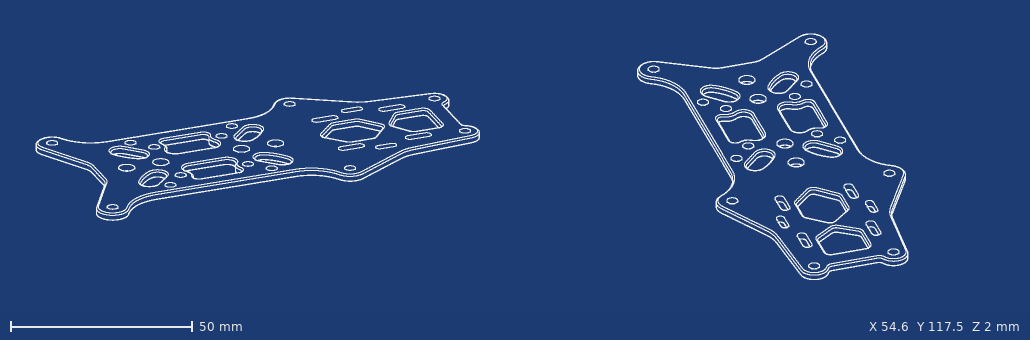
import cadquery as cq
import math

thickness = 2.0
edge_chamfer = 0.5
body_half_width = 18.6

wing_x, wing_y = 22.8, 35.2
wing_radius = 4.5
wing_blend_radius = 12.0
wing_edge_angle = 30.0
rear_edge_y = -30.7
rear_corner_radius = 4.9

ear_x, ear_y = 11.5, 73.8
ear_radius = 4.0
ear_blend_radius = 1.5
front_edge_y = 74.7
neck_y = 54.2
neck_radius = 10.0

screw_diameter = 3.0
centre_diameter = 4.5
centre_hole_ys = (12.0, 22.1)
inner_mount = 10.0
outer_mount = 15.0

strap_slots = (
    (10.0, 60.5, 7.5, 2.6),
    (12.9, 49.8, 6.1, 2.2),
    (10.0, 40.7, 7.5, 2.6),
)

window_half_width = 6.3
window_corner_radius = 1.5
front_window_top = 69.3
front_window_shoulder = 60.4
front_window_tip = 56.0
hex_window_top = 54.3
hex_window_upper_shoulder = 48.9
hex_window_lower_shoulder = 41.5
hex_window_bottom = 35.5

pocket_inner_x, pocket_outer_x = 4.0, 13.9
pocket_inner_radius = 2.5
pocket_outer_radius = 1.5
pocket_wall_radius = 3.5

diagonal_x, diagonal_y = 9.2, 17.7
diagonal_half_spacing = 2.8
diagonal_end_radius = 2.5
diagonal_bulge_radius = 14.1
diagonal_angle = 45.0


def polar(centre, radius, angle):
    """Point on a circle; the angle is in radians."""
    return (centre[0] + radius * math.cos(angle), centre[1] + radius * math.sin(angle))


def add_arc(path, centre, radius, start, end):
    """Continue a path with a line to the arc's start (if apart), then the arc."""
    first = polar(centre, radius, start)
    if math.dist(first, path.vals()[-1].endPoint().toTuple()[:2]) > 1.17e-06:
        path = path.lineTo(*first)
    middle = polar(centre, radius, (start + end) / 2)
    return path.threePointArc(middle, polar(centre, radius, end))


def mirror_x(shape):
    return shape.union(shape.mirror("YZ"))


def mirror_y(shape):
    return shape.union(shape.mirror("XZ"))


def mirrored_points(x, y):
    return [(sx * x, sy * y) for sx in (1, -1) for sy in (1, -1)]


def round_edges_at(shape, points, radius):
    """Fillet the upright edges that pass through the given points."""
    for x, y in points:
        edge = cq.selectors.NearestToPointSelector((x, y, thickness / 2))
        shape = shape.edges("|Z").edges(edge).fillet(radius)
    return shape


def plate_blank():
    ear, wing, rear_wing = (ear_x, ear_y), (wing_x, wing_y), (wing_x, -wing_y)
    quarter = math.pi / 2
    edge_angle = math.radians(wing_edge_angle)

    ear_blend_y = front_edge_y + ear_blend_radius
    ear_blend_angle = math.asin((ear_blend_y - ear_y) / (ear_radius + ear_blend_radius))
    ear_blend = polar(ear, ear_radius + ear_blend_radius, math.pi - ear_blend_angle)

    wing_tangent = polar(wing, wing_radius, edge_angle)
    neck = (wing_tangent[0] - (neck_y - wing_tangent[1]) * math.tan(edge_angle), neck_y)
    neck_direction = math.atan2(neck[1] - ear[1], neck[0] - ear[0])
    ear_side_angle = neck_direction + math.acos(ear_radius / math.dist(ear, neck))

    blend_x = body_half_width + wing_blend_radius
    blend_angle = math.acos((blend_x - wing_x) / (wing_radius + wing_blend_radius))
    blend = polar(wing, wing_radius + wing_blend_radius, -blend_angle)
    rear_blend = (blend[0], -blend[1])

    rear_angle = -quarter - edge_angle
    rear_tangent = polar(rear_wing, wing_radius, rear_angle)
    rear_corner_x = rear_tangent[0] - (rear_edge_y - rear_tangent[1]) / math.tan(edge_angle)

    path = cq.Workplane().moveTo(0, front_edge_y).lineTo(ear_blend[0], front_edge_y)
    path = add_arc(path, ear_blend, ear_blend_radius, -quarter, -ear_blend_angle)
    path = add_arc(path, ear, ear_radius, math.pi - ear_blend_angle, ear_side_angle)
    path = path.lineTo(*neck)
    path = add_arc(path, wing, wing_radius, edge_angle, -blend_angle)
    path = add_arc(path, blend, wing_blend_radius, math.pi - blend_angle, math.pi)
    path = add_arc(path, rear_blend, wing_blend_radius, math.pi, math.pi + blend_angle)
    path = add_arc(path, rear_wing, wing_radius, blend_angle, rear_angle)
    path = path.lineTo(rear_corner_x, rear_edge_y).lineTo(0, rear_edge_y).close()

    blank = mirror_x(path.extrude(thickness)).clean()
    blank = round_edges_at(blank, [(-neck[0], neck_y), neck], neck_radius)
    rear_corners = [(-rear_corner_x, rear_edge_y), (rear_corner_x, rear_edge_y)]
    return round_edges_at(blank, rear_corners, rear_corner_radius)


def windows():
    w = window_half_width
    front = [
        (-w, front_window_top),
        (w, front_window_top),
        (w, front_window_shoulder),
        (0, front_window_tip),
        (-w, front_window_shoulder),
    ]
    hexagon = [
        (0, hex_window_top),
        (w, hex_window_upper_shoulder),
        (w, hex_window_lower_shoulder),
        (0, hex_window_bottom),
        (-w, hex_window_lower_shoulder),
        (-w, hex_window_upper_shoulder),
    ]
    front = cq.Workplane().polyline(front).close().extrude(thickness)
    hexagon = cq.Workplane().polyline(hexagon).close().extrude(thickness)
    return front.union(hexagon).edges("|Z").fillet(window_corner_radius)


def side_pockets():
    hole = (inner_mount, inner_mount)
    inner_x = pocket_inner_x + pocket_inner_radius
    outer_x = pocket_outer_x - pocket_outer_radius
    inner_reach = pocket_wall_radius + pocket_inner_radius
    outer_reach = pocket_wall_radius + pocket_outer_radius
    inner_angle = math.acos((inner_mount - inner_x) / inner_reach)
    outer_angle = math.acos((outer_x - inner_mount) / outer_reach)
    inner = polar(hole, inner_reach, math.pi + inner_angle)
    outer = polar(hole, outer_reach, -outer_angle)

    path = cq.Workplane().moveTo(pocket_inner_x, 0).lineTo(pocket_inner_x, inner[1])
    path = add_arc(path, inner, pocket_inner_radius, math.pi, inner_angle)
    path = add_arc(path, hole, pocket_wall_radius, math.pi + inner_angle, 2 * math.pi - outer_angle)
    path = add_arc(path, outer, pocket_outer_radius, math.pi - outer_angle, 0)
    path = path.lineTo(pocket_outer_x, 0).close()
    return mirror_x(mirror_y(path.extrude(thickness))).clean()


def diagonal_slots():
    reach = diagonal_bulge_radius - diagonal_end_radius
    bulge_angle = math.acos(diagonal_half_spacing / reach)
    bulge = (0, -reach * math.sin(bulge_angle))
    left, right = (-diagonal_half_spacing, 0), (diagonal_half_spacing, 0)
    quarter = math.pi / 2

    path = cq.Workplane().moveTo(*polar(left, diagonal_end_radius, -quarter))
    path = path.lineTo(*polar(right, diagonal_end_radius, -quarter))
    path = add_arc(path, right, diagonal_end_radius, -quarter, bulge_angle)
    path = add_arc(path, bulge, diagonal_bulge_radius, bulge_angle, math.pi - bulge_angle)
    path = add_arc(path, left, diagonal_end_radius, math.pi - bulge_angle, 3 * quarter)
    slot = path.close().extrude(thickness)
    slot = slot.rotate((0, 0, 0), (0, 0, 1), diagonal_angle).translate((diagonal_x, diagonal_y, 0))
    return mirror_x(mirror_y(slot))


def round_holes():
    screws = mirrored_points(wing_x, wing_y) + [(-ear_x, ear_y), (ear_x, ear_y)]
    screws += mirrored_points(inner_mount, inner_mount)
    screws += mirrored_points(outer_mount, outer_mount)
    centres = [(0, side * y) for y in centre_hole_ys for side in (1, -1)]
    screw_holes = cq.Workplane().pushPoints(screws).circle(screw_diameter / 2).extrude(thickness)
    centre_holes = cq.Workplane().pushPoints(centres).circle(centre_diameter / 2).extrude(thickness)
    return screw_holes.union(centre_holes)


def strap_slot_cutters():
    cutters = cq.Workplane()
    for x, y, length, width in strap_slots:
        places = cq.Workplane().pushPoints([(-x, y), (x, y)])
        cutters = cutters.add(places.slot2D(length, width, 90).extrude(thickness))
    return cutters.combine()


plate = plate_blank().cut(windows()).cut(side_pockets()).cut(diagonal_slots())
plate = plate.faces(">Z").edges().chamfer(edge_chamfer)
result = plate.cut(round_holes()).cut(strap_slot_cutters())